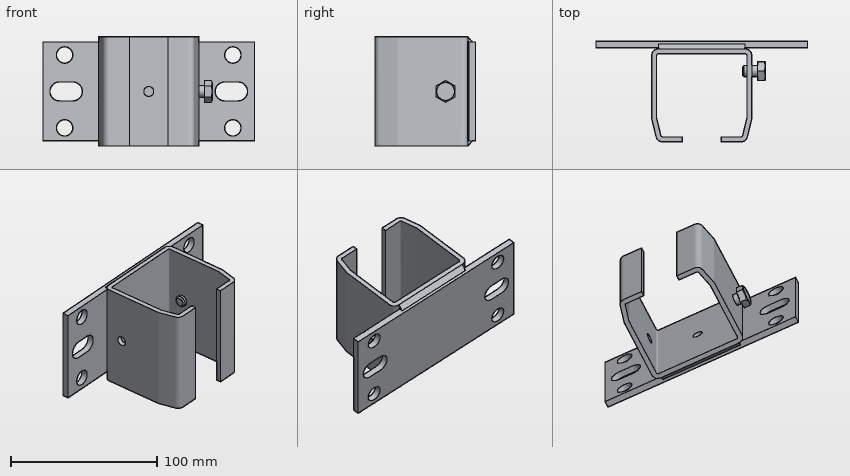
import cadquery as cq
import math


plate_length = 145.0
plate_height = 67.7
plate_thickness = 4.6
round_hole_diameter = 11.0
round_hole_x = 57.5
round_hole_z = 25.0
slot_length = 22.0
slot_width = 12.8
slot_x = 56.5

total_depth = 69.0
bracket_height = 75.0
bracket_width = 68.6
sheet_thickness = 3.5
bend_radius = 4.5
bracket_gap = 0.7
kink_height = 15.8
front_width = 60.9
mouth_width = 26.7
pilot_hole_diameter = 6.8

weld_length = 59.0
weld_leg_start = 2.2

bolt_y = -20.6
shank_diameter = 8.0
shank_tip_x = 28.0
shank_tip_chamfer = 1.0
head_start_x = 38.3
head_end_x = 43.5
head_across_flats = 12.9
head_sides = 6
head_face_diameter = 12.2
head_bevel_angle = 30.0

bracket_back_y = -(plate_thickness + bracket_gap)
bracket_front_y = -total_depth


def make_plate():
    """Flat plate with four round holes and two slots."""
    plate = cq.Workplane("XY").box(plate_length, plate_thickness, plate_height)
    plate = plate.translate((0, -plate_thickness / 2, 0))
    round_holes = (
        cq.Workplane("XZ")
        .rect(2 * round_hole_x, 2 * round_hole_z, forConstruction=True)
        .vertices()
        .circle(round_hole_diameter / 2)
        .extrude(plate_thickness)
    )
    slots = (
        cq.Workplane("XZ")
        .pushPoints([(-slot_x, 0), (slot_x, 0)])
        .slot2D(slot_length, slot_width)
        .extrude(plate_thickness)
    )
    return plate.cut(round_holes).cut(slots)


def make_bracket():
    """C-shaped sheet: back web, two walls that lean in at the front, two lips."""
    half_width = bracket_width / 2
    half_front = front_width / 2
    kink_y = bracket_front_y + kink_height
    envelope = (
        cq.Workplane("XY", origin=(0, 0, -bracket_height / 2))
        .polyline([
            (-half_width, bracket_back_y),
            (-half_width, kink_y),
            (-half_front, bracket_front_y),
            (half_front, bracket_front_y),
            (half_width, kink_y),
            (half_width, bracket_back_y),
        ])
        .close()
        .extrude(bracket_height)
        .edges("|Z")
        .fillet(bend_radius)
    )
    cavity = (
        envelope.faces(">Z")
        .wires()
        .toPending()
        .offset2D(-sheet_thickness)
        .extrude(-bracket_height, combine=False)
    )
    mouth = cq.Workplane("XY").box(mouth_width, 2 * sheet_thickness, bracket_height)
    mouth = mouth.translate((0, bracket_front_y, 0))
    web_hole = (
        cq.Workplane("XZ", origin=(0, bracket_back_y, 0))
        .circle(pilot_hole_diameter / 2)
        .extrude(sheet_thickness)
    )
    wall_hole = (
        cq.Workplane("YZ", origin=(-half_width, bolt_y, 0))
        .circle(pilot_hole_diameter / 2)
        .extrude(sheet_thickness)
    )
    return envelope.cut(cavity).cut(mouth).cut(web_hole).cut(wall_hole)


def make_weld(side):
    """Triangular weld on the plate's top (side = 1) or bottom (side = -1) edge."""
    return (
        cq.Workplane("YZ")
        .polyline([
            (-weld_leg_start, side * plate_height / 2),
            (bracket_back_y, side * plate_height / 2),
            (bracket_back_y, side * bracket_height / 2),
        ])
        .close()
        .extrude(weld_length / 2, both=True)
    )


def make_bolt():
    """Hexagon bolt along X through the right wall, head outside."""
    shank = (
        cq.Workplane("YZ", origin=(shank_tip_x, bolt_y, 0))
        .circle(shank_diameter / 2)
        .extrude(head_start_x - shank_tip_x)
        .faces("<X")
        .chamfer(shank_tip_chamfer)
    )
    head_length = head_end_x - head_start_x
    corner_radius = head_across_flats / 2 / math.cos(math.pi / head_sides)
    bevel_width = corner_radius - head_face_diameter / 2
    bevel_length = bevel_width * math.tan(math.radians(head_bevel_angle))
    hexagon = (
        cq.Workplane("YZ", origin=(head_start_x, bolt_y, 0))
        .polygon(head_sides, 2 * corner_radius)
        .extrude(head_length)
        .rotate((0, bolt_y, 0), (1, bolt_y, 0), 90)
    )
    blank = (
        cq.Workplane("YZ", origin=(head_start_x, bolt_y, 0))
        .circle(corner_radius)
        .extrude(head_length)
        .faces(">X")
        .chamfer(bevel_length, bevel_width)
    )
    return shank.union(hexagon.intersect(blank))


result = (
    make_plate()
    .union(make_weld(1))
    .union(make_weld(-1))
    .union(make_bracket())
    .union(make_bolt())
)